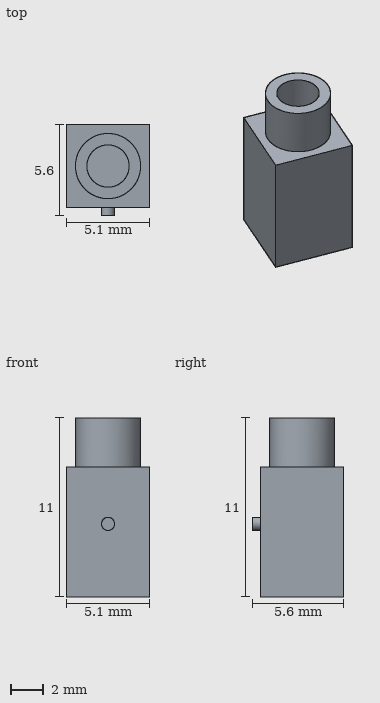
import cadquery as cq

total_height = 11.0
body_side = 5.1
collar_height = 3.0
collar_diameter = 4.0
bore_diameter = 2.6
pin_diameter = 0.8
pin_length = 0.5
pin_height = 4.5

body_height = total_height - collar_height
bore_depth = collar_height

body = cq.Workplane("XY").rect(body_side, body_side).extrude(body_height)

collar = (
    cq.Workplane("XY")
    .workplane(offset=body_height)
    .circle(collar_diameter / 2)
    .extrude(collar_height)
)
bore = (
    cq.Workplane("XY")
    .workplane(offset=total_height)
    .circle(bore_diameter / 2)
    .extrude(-bore_depth)
)

pin = (
    cq.Workplane("XZ", origin=(0, -body_side / 2, pin_height))
    .circle(pin_diameter / 2)
    .extrude(pin_length)
)

result = body.union(collar).cut(bore).union(pin)